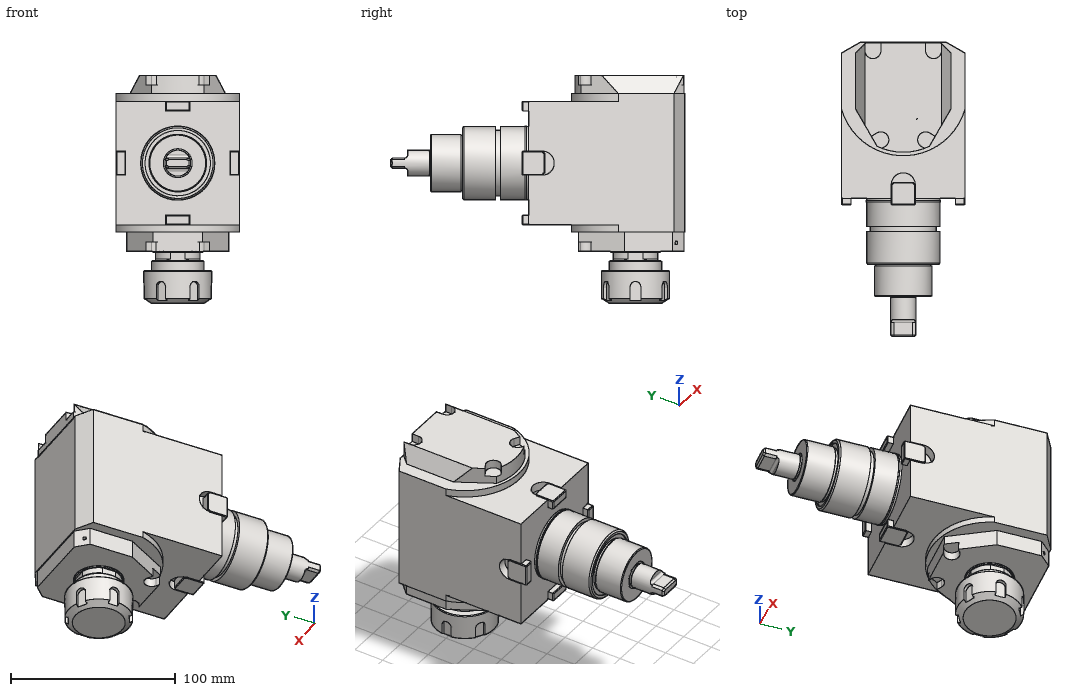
import cadquery as cq
import math


BODY_WIDTH = 75.0
HALF_WIDTH = BODY_WIDTH / 2
BODY_BACK_Y = 30.0
BODY_FRONT_Y = -64.9
BACK_BEVEL_X = 11.5
BACK_BEVEL_Y = BACK_BEVEL_X * math.tan(math.radians(30))
FLANGE_RADIUS = 39.0
FLANGE_TOP_Z = 42.4
FLANGE_BOTTOM_Z = -41.8

COVER_BACK_Y = 29.5
COVER_TAPER = 60.0
TOP_COVER_Z = 53.3
TOP_BASE_HALF = 29.0
TOP_CREST_HALF = 23.2
TOP_SIDE_FRONT_Y = -10.5
TOP_NOSE_RADIUS = 36.8
TOP_BACK_BEVEL = 6.0
BOTTOM_COVER_Z = -53.6
BOTTOM_HALF = 31.1
BOTTOM_SIDE_FRONT_Y = -6.6
BOTTOM_FRONT_Y = -34.7
BOTTOM_BACK_BEVEL = 7.1

SEAT_DIAMETER = 9.6
SEAT_DEPTH = 5.7
BACK_SEAT = (18.4, 24.8)
FRONT_SEAT = (13.5, -29.3)
PIN_HOLE_DIAMETER = 2.1
PIN_HOLE_DEPTH = 2.7
PIN_HOLE_Z = -48.5
PIN_HOLE_FROM_BACK = 4.6

KEY_WIDTH = 14.7
KEY_THICKNESS = 5.9
KEY_BACK_Y = -55.0
KEY_FRONT_Y = -68.8
KEY_BACK_CHAMFER = 1.5
KEY_EDGE = 0.5
POCKET_END_Y = -49.3

SHAFT_RADIUS = 22.3
COLLAR_RADIUS = 22.5
COLLAR_BACK_Y = -66.1
COLLAR_FRONT_Y = -67.0
GROOVE_RADIUS = 40.2 / 2
GROOVE_BACK_Y = -82.0
GROOVE_FRONT_Y = -84.9
SHAFT_END_Y = -105.0
SHAFT_CHAMFER = 0.9
END_RECESS_RADIUS = 19.8
END_RECESS_DEPTH = 0.9
STEP_RADIUS = 17.5
STEP_END_Y = -124.4
STEP_CHAMFER = 0.5
BORE_RADIUS = 8.8
BORE_DEPTH = 0.7
UNDERCUT = 0.7
PIN_RADIUS = 7.9
TANG_BACK_Y = -138.3
TIP_Y = -148.7
TANG_HALF_THICKNESS = 6.3 / 2
TANG_FLAT_HALF = 5.7
TANG_EDGE_HALF = 2.0
TANG_ROOT_FILLET = 1.8
TIP_CHAMFER = 1.0

NECK_RADIUS = 14.3
NECK_ACROSS_FLATS = 27.2
NECK_FLARE = 0.9
LIP_RADIUS = 15.4
LIP_HEIGHT = 0.7
LIP_CHAMFER = 0.5
RING_RADIUS = 32.0 / 2
RING_TOP_Z = -59.0
RING_CHAMFER = 0.9
NUT_RADIUS = 20.7
NUT_TOP_Z = -65.2
NUT_BOTTOM_Z = -85.0
NUT_EDGE = 0.5
NUT_BEVEL_RADIAL = 4.6
NUT_BEVEL_HEIGHT = 2.9
NUT_SLOT_COUNT = 6
NUT_SLOT_WIDTH = 6.5
NUT_SLOT_DEPTH = 2.1
NUT_SLOT_TOP_Z = -71.8


def mirrored(points):
    """Close a right-hand half outline with its mirror image in X."""
    return points + [(-x, y) for x, y in reversed(points)]


def prism(points, z_low, z_high):
    return cq.Workplane("XY").workplane(offset=z_low).polyline(points).close().extrude(z_high - z_low)


def disc(radius, z_low, z_high):
    return cq.Workplane("XY").workplane(offset=z_low).circle(radius).extrude(z_high - z_low)


def shaft_section(radius, y_back, y_front):
    return cq.Workplane("XZ", origin=(0, y_back, 0)).circle(radius).extrude(y_back - y_front)


def housing():
    block = prism(
        mirrored([(HALF_WIDTH, BODY_FRONT_Y), (HALF_WIDTH, BODY_BACK_Y)]), -HALF_WIDTH, HALF_WIDTH
    )
    flange_corner_y = -math.sqrt(FLANGE_RADIUS**2 - HALF_WIDTH**2)
    flanges = (
        cq.Workplane("XY")
        .workplane(offset=FLANGE_BOTTOM_Z)
        .moveTo(HALF_WIDTH, BODY_BACK_Y)
        .lineTo(HALF_WIDTH, flange_corner_y)
        .threePointArc((0, -FLANGE_RADIUS), (-HALF_WIDTH, flange_corner_y))
        .lineTo(-HALF_WIDTH, BODY_BACK_Y)
        .close()
        .extrude(FLANGE_TOP_Z - FLANGE_BOTTOM_Z)
    )
    bevelled_plan = prism(
        mirrored([
            (HALF_WIDTH, BODY_FRONT_Y),
            (HALF_WIDTH, BODY_BACK_Y - BACK_BEVEL_Y),
            (HALF_WIDTH - BACK_BEVEL_X, BODY_BACK_Y),
        ]),
        FLANGE_BOTTOM_Z,
        FLANGE_TOP_Z,
    )
    return block.union(flanges).intersect(bevelled_plan)


def cover_plan(half_width, side_front_y, front_y, back_bevel):
    """Outline of a cover: bevelled back corners and slanted sides running to the front."""
    front_half = half_width - (side_front_y - front_y) / math.tan(math.radians(COVER_TAPER))
    return mirrored([
        (front_half, front_y),
        (half_width, side_front_y),
        (half_width, COVER_BACK_Y - back_bevel),
        (half_width - back_bevel, COVER_BACK_Y),
    ])


def open_seat(x, y, direction, z_low):
    """Round-ended screw seat that runs out of the cover along the given direction."""
    run_out = (
        cq.Workplane("XY")
        .box(SEAT_DIAMETER, SEAT_DIAMETER, SEAT_DEPTH, centered=(False, True, False))
        .rotate((0, 0, 0), (0, 0, 1), direction)
    )
    return disc(SEAT_DIAMETER / 2, 0, SEAT_DEPTH).union(run_out).translate((x, y, z_low))


def front_seat(side, z_low):
    """Seat in a slanted front side of a cover, running out square to that side."""
    return open_seat(side * FRONT_SEAT[0], FRONT_SEAT[1], -90 + side * COVER_TAPER, z_low)


def top_cover():
    plan = prism(
        cover_plan(TOP_BASE_HALF, TOP_SIDE_FRONT_Y, -TOP_NOSE_RADIUS, TOP_BACK_BEVEL),
        FLANGE_TOP_Z,
        TOP_COVER_Z,
    )
    nose = disc(TOP_NOSE_RADIUS, FLANGE_TOP_Z, TOP_COVER_Z)
    back_half = cq.Workplane("XY").box(
        BODY_WIDTH, BODY_BACK_Y, TOP_COVER_Z, centered=(True, False, False)
    )
    sloped_sides = (
        cq.Workplane("XZ", origin=(0, BODY_BACK_Y, 0))
        .polyline(mirrored([(TOP_BASE_HALF, FLANGE_TOP_Z), (TOP_CREST_HALF, TOP_COVER_Z)]))
        .close()
        .extrude(BODY_BACK_Y - BODY_FRONT_Y)
    )
    cover = plan.intersect(nose.union(back_half)).intersect(sloped_sides)
    floor_z = TOP_COVER_Z - SEAT_DEPTH
    for side in (-1, 1):
        cover = cover.cut(open_seat(side * BACK_SEAT[0], BACK_SEAT[1], 90, floor_z))
        cover = cover.cut(front_seat(side, floor_z))
    return cover


def bottom_cover():
    cover = prism(
        cover_plan(BOTTOM_HALF, BOTTOM_SIDE_FRONT_Y, BOTTOM_FRONT_Y, BOTTOM_BACK_BEVEL),
        BOTTOM_COVER_Z,
        FLANGE_BOTTOM_Z,
    )
    hole_x = BOTTOM_HALF - BOTTOM_BACK_BEVEL + PIN_HOLE_FROM_BACK
    hole_y = COVER_BACK_Y - PIN_HOLE_FROM_BACK
    for side in (-1, 1):
        cover = cover.cut(front_seat(side, BOTTOM_COVER_Z))
        pin_hole = cq.Solid.makeCylinder(
            PIN_HOLE_DIAMETER / 2,
            PIN_HOLE_DEPTH,
            cq.Vector(side * hole_x, hole_y, PIN_HOLE_Z),
            cq.Vector(-side, -1, 0),
        )
        cover = cover.cut(cq.Workplane(pin_hole))
    return cover


def key_and_pocket():
    """Key and pocket on the top face; the other three faces use turned copies."""
    floor_z = HALF_WIDTH - KEY_THICKNESS
    half = KEY_WIDTH / 2
    arc_y = POCKET_END_Y - half
    pocket = disc(half, floor_z, HALF_WIDTH).translate((0, arc_y, 0)).union(
        prism(mirrored([(half, BODY_FRONT_Y), (half, arc_y)]), floor_z, HALF_WIDTH)
    )
    key = prism(mirrored([(half, KEY_FRONT_Y), (half, KEY_BACK_Y)]), floor_z, HALF_WIDTH)
    key = key.edges("|Z and >Y").chamfer(KEY_BACK_CHAMFER)
    key = key.edges("<Y or >Z").chamfer(KEY_EDGE)
    return key, pocket


def tang():
    """Flattened drive tongue at the tip of the shaft."""
    length = TANG_BACK_Y - TIP_Y
    bevelled = mirrored([
        (TANG_FLAT_HALF, -TANG_HALF_THICKNESS),
        (PIN_RADIUS, -TANG_EDGE_HALF),
        (PIN_RADIUS, TANG_EDGE_HALF),
        (TANG_FLAT_HALF, TANG_HALF_THICKNESS),
    ])
    tongue = (
        cq.Workplane("XZ", origin=(0, TANG_BACK_Y, 0))
        .polyline(bevelled)
        .close()
        .extrude(length)
        .faces("<Y")
        .chamfer(TIP_CHAMFER)
    )
    root_z = TANG_HALF_THICKNESS + TANG_ROOT_FILLET
    fillet_end_y = TANG_BACK_Y - TANG_ROOT_FILLET
    root = (
        cq.Workplane("YZ", origin=(-PIN_RADIUS, 0, 0))
        .moveTo(TANG_BACK_Y, root_z)
        .radiusArc((fillet_end_y, TANG_HALF_THICKNESS), TANG_ROOT_FILLET)
        .lineTo(fillet_end_y, -TANG_HALF_THICKNESS)
        .radiusArc((TANG_BACK_Y, -root_z), TANG_ROOT_FILLET)
        .close()
        .extrude(2 * PIN_RADIUS)
    )
    return tongue.union(root).intersect(shaft_section(PIN_RADIUS, TANG_BACK_Y, TIP_Y))


def drive_shaft():
    main = shaft_section(SHAFT_RADIUS, BODY_FRONT_Y, SHAFT_END_Y).faces("<Y").chamfer(SHAFT_CHAMFER)
    groove = shaft_section(COLLAR_RADIUS, GROOVE_BACK_Y, GROOVE_FRONT_Y).cut(
        shaft_section(GROOVE_RADIUS, GROOVE_BACK_Y, GROOVE_FRONT_Y)
    )
    recess_y = SHAFT_END_Y + END_RECESS_DEPTH
    bore_y = STEP_END_Y + BORE_DEPTH
    step_y = SHAFT_END_Y - UNDERCUT
    pin_y = STEP_END_Y - UNDERCUT
    step = shaft_section(STEP_RADIUS, step_y, STEP_END_Y).faces("<Y").chamfer(STEP_CHAMFER)
    return (
        main.cut(groove)
        .cut(shaft_section(END_RECESS_RADIUS, recess_y, SHAFT_END_Y))
        .union(shaft_section(COLLAR_RADIUS, COLLAR_BACK_Y, COLLAR_FRONT_Y))
        .union(shaft_section(STEP_RADIUS - UNDERCUT, recess_y, step_y))
        .union(step.cut(shaft_section(BORE_RADIUS, bore_y, STEP_END_Y)))
        .union(shaft_section(PIN_RADIUS - UNDERCUT, bore_y, pin_y))
        .union(shaft_section(PIN_RADIUS, pin_y, TANG_BACK_Y))
        .union(tang())
    )


def collet_nut():
    neck_height = BOTTOM_COVER_Z - RING_TOP_Z
    flare = (
        cq.Workplane("XY")
        .workplane(offset=RING_TOP_Z)
        .circle(NECK_RADIUS + NECK_FLARE)
        .extrude(NECK_FLARE, taper=45)
    )
    flats = cq.Workplane("XY").workplane(offset=RING_TOP_Z).rect(NECK_ACROSS_FLATS, NECK_ACROSS_FLATS)
    neck = disc(NECK_RADIUS, RING_TOP_Z, BOTTOM_COVER_Z).union(flare).intersect(flats.extrude(neck_height))
    lip = disc(LIP_RADIUS, BOTTOM_COVER_Z - LIP_HEIGHT, BOTTOM_COVER_Z).faces("<Z").chamfer(LIP_CHAMFER)
    ring = disc(RING_RADIUS, NUT_TOP_Z, RING_TOP_Z).faces(">Z").chamfer(RING_CHAMFER)
    nut = disc(NUT_RADIUS, NUT_BOTTOM_Z, NUT_TOP_Z).faces(">Z").chamfer(NUT_EDGE)
    nut = nut.faces("<Z").chamfer(NUT_BEVEL_HEIGHT, NUT_BEVEL_RADIAL)
    slot_height = NUT_SLOT_TOP_Z - NUT_BOTTOM_Z + NUT_SLOT_WIDTH
    slot = (
        cq.Workplane("YZ", origin=(NUT_RADIUS - NUT_SLOT_DEPTH, 0, NUT_SLOT_TOP_Z - slot_height / 2))
        .slot2D(slot_height, NUT_SLOT_WIDTH, 90)
        .extrude(2 * NUT_SLOT_DEPTH)
    )
    for index in range(NUT_SLOT_COUNT):
        nut = nut.cut(slot.rotate((0, 0, 0), (0, 0, 1), index * 360 / NUT_SLOT_COUNT))
    return neck.union(lip).union(ring).union(nut)


def build():
    part = housing().union(top_cover()).union(bottom_cover())
    key, pocket = key_and_pocket()
    for turn in (0, 90, 180, 270):
        part = part.cut(pocket.rotate((0, 0, 0), (0, 1, 0), turn))
        part = part.union(key.rotate((0, 0, 0), (0, 1, 0), turn))
    return part.union(drive_shaft()).union(collet_nut())


result = build()